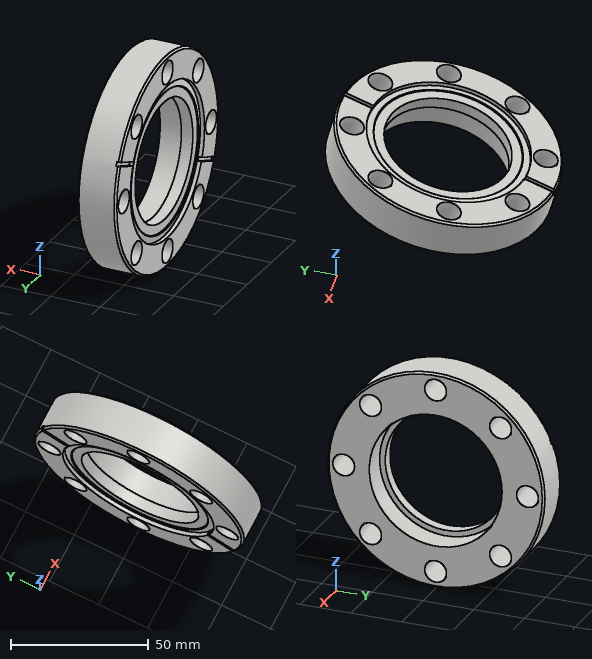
import cadquery as cq
import math

outer_radius = 42.8
thickness = 15.75
rim_chamfer = 0.8
bore_radius = 23.9
back_bore_radius = 26.1
bore_step_depth = 6.0

recess_radius = 30.8
wall_depth = 1.7
knife_radius = 28.0
knife_depth = 1.0
floor_radius = 27.7
floor_depth = 1.4

bolt_count = 8
bolt_circle_radius = 36.2
bolt_hole_radius = 4.3
bolt_entry_radius = 4.5
bolt_entry_depth = 2.8
bolt_entry_taper = math.degrees(math.atan2(bolt_entry_radius - bolt_hole_radius, bolt_entry_depth))

groove_width = 1.6
groove_depth = 1.4
groove_tilt = 22.5

front_x = -thickness / 2
back_x = thickness / 2


def make_body():
    """Revolve the half section, with its knife edge and stepped bore, around the X axis."""
    section = (
        cq.Workplane("XY")
        .moveTo(back_x, back_bore_radius)
        .lineTo(back_x, outer_radius - rim_chamfer)
        .lineTo(back_x - rim_chamfer, outer_radius)
        .lineTo(front_x + rim_chamfer, outer_radius)
        .lineTo(front_x, outer_radius - rim_chamfer)
        .lineTo(front_x, recess_radius)
        .lineTo(front_x + wall_depth, recess_radius)
        .lineTo(front_x + knife_depth, knife_radius)
        .lineTo(front_x + floor_depth, floor_radius)
        .lineTo(front_x + floor_depth, bore_radius)
        .lineTo(front_x + bore_step_depth, bore_radius)
        .lineTo(front_x + bore_step_depth, back_bore_radius)
        .close()
    )
    return section.revolve(360, (0, 0, 0), (1, 0, 0))


def make_bolt_holes():
    """Through holes on the bolt circle, with a slight taper at the sealing face."""
    face = cq.Workplane("YZ", origin=(front_x, 0, 0))
    places = face.polarArray(bolt_circle_radius, 0, 360, bolt_count)
    through = places.circle(bolt_hole_radius).extrude(thickness)
    entry = places.circle(bolt_entry_radius).extrude(bolt_entry_depth, taper=bolt_entry_taper)
    return through.union(entry)


def make_grooves():
    """Tilted slot across the sealing face; it is cut only outside the recess."""
    slot = (
        cq.Workplane("YZ", origin=(front_x, 0, 0))
        .rect(2 * outer_radius, groove_width)
        .extrude(groove_depth)
        .rotate((0, 0, 0), (1, 0, 0), groove_tilt)
    )
    inner = cq.Workplane("YZ", origin=(front_x, 0, 0)).circle(recess_radius).extrude(groove_depth)
    return slot.cut(inner)


result = make_body().cut(make_bolt_holes()).cut(make_grooves())